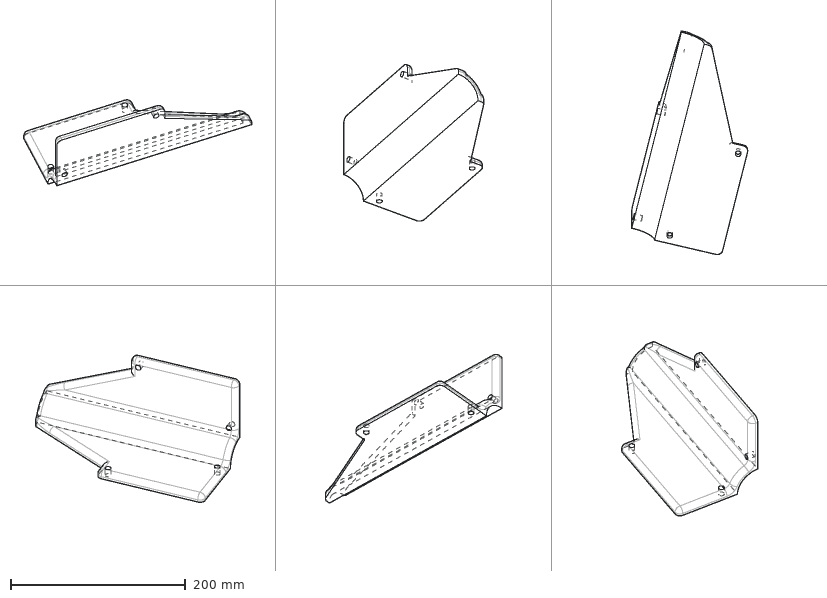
import cadquery as cq
import math

length = 241.3
leg = 105.7
thickness = 9.7
web_inner_radius = 26.8
web_outer_radius = web_inner_radius + thickness
root_radius = 8.0
rim_radius = 6.5

wide_length = 133.7
shoulder_width = 19.0
taper_end_width = 70.5

hole_diameter = 6.5
hole_positions = ((leg - 10.1, 123.0), (leg - 63.2, 9.7))

root_center_height = thickness + root_radius
root_center_reach = math.sqrt((web_outer_radius + root_radius) ** 2 - root_center_height ** 2)
contact_scale = web_outer_radius / (web_outer_radius + root_radius)
contact_reach = root_center_reach * contact_scale
contact_height = root_center_height * contact_scale
diagonal = math.sqrt(0.5)
tolerance = 0.002

contact_angle = math.atan2(root_center_height, root_center_reach)
blend_mid_angle = (-math.pi / 2 - contact_angle) / 2
blend_mid_reach = root_center_reach - root_radius * math.cos(blend_mid_angle)
blend_mid_height = root_center_height + root_radius * math.sin(blend_mid_angle)


def angle_body():
    """Two flanges joined by a quarter-round web, extruded along +Y."""
    blend_mid_low = (-blend_mid_reach, blend_mid_height)
    blend_mid_high = (-blend_mid_height, blend_mid_reach)
    web_outer_mid = (-web_outer_radius * diagonal, web_outer_radius * diagonal)
    web_inner_mid = (-web_inner_radius * diagonal, web_inner_radius * diagonal)
    return (
        cq.Workplane("XZ")
        .moveTo(-leg, 0)
        .lineTo(-leg, thickness)
        .lineTo(-root_center_reach, thickness)
        .threePointArc(blend_mid_low, (-contact_reach, contact_height))
        .threePointArc(web_outer_mid, (-contact_height, contact_reach))
        .threePointArc(blend_mid_high, (-thickness, root_center_reach))
        .lineTo(-thickness, leg)
        .lineTo(0, leg)
        .lineTo(0, web_inner_radius)
        .threePointArc(web_inner_mid, (-web_inner_radius, 0))
        .close()
        .extrude(-length)
    )


def on_both_flanges(horizontal_tool):
    """Pair a tool for the horizontal flange with its twin for the upright one."""
    upright_tool = horizontal_tool.mirror("XY").rotate((0, 0, 0), (0, 1, 0), 90)
    return horizontal_tool, upright_tool


def taper_cutter():
    """Region removed beside the narrowing far end of the horizontal flange."""
    outline = [
        (-leg, wide_length),
        (-leg + shoulder_width, wide_length),
        (-leg + taper_end_width, length),
        (-leg, length),
    ]
    return cq.Workplane("XY").polyline(outline).close().extrude(web_inner_radius)


def hole_cutter():
    points = [(-reach, y) for reach, y in hole_positions]
    return cq.Workplane("XY").pushPoints(points).circle(hole_diameter / 2).extrude(thickness)


def is_rim_edge(edge):
    """True for front-face border edges; false for back edges, cross edges and root seams."""
    center = edge.Center()
    reach, height = sorted((-center.x, center.z), reverse=True)
    on_flange_face = height > thickness - tolerance
    outside_web = math.hypot(reach, height) > (web_inner_radius + web_outer_radius) / 2
    start, end = edge.startPoint(), edge.endPoint()
    runs_along_y = abs(start.x - end.x) < tolerance and abs(start.z - end.z) < tolerance
    is_outer_side = reach > leg - tolerance
    return on_flange_face and outside_web and (is_outer_side or not runs_along_y)


def is_corner_edge(edge):
    """True for the convex edges that cross the thickness at the flange corners."""
    center = edge.Center()
    reach, height = sorted((-center.x, center.z), reverse=True)
    crosses_thickness = edge.geomType() == "LINE" and tolerance < height < thickness - tolerance
    at_outer_corner = reach > leg - tolerance
    at_far_corner = center.y > length - tolerance and reach < leg - taper_end_width + tolerance
    return crosses_thickness and (at_outer_corner or at_far_corner)


body = angle_body()
for cutter in on_both_flanges(taper_cutter()):
    body = body.cut(cutter)

corner_edges = [edge for edge in body.edges().vals() if is_corner_edge(edge)]
body = body.newObject(corner_edges).fillet(rim_radius)
rim_edges = [edge for edge in body.edges().vals() if is_rim_edge(edge)]
body = body.newObject(rim_edges).fillet(rim_radius)

for cutter in on_both_flanges(hole_cutter()):
    body = body.cut(cutter)

result = body